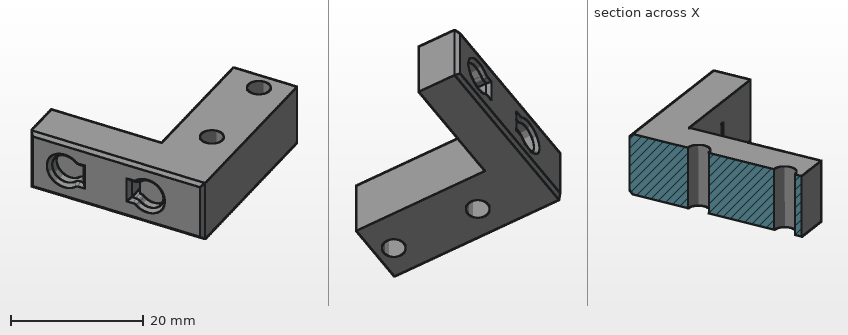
import cadquery as cq
import math

length_x = 29.9
length_y = 30.0
height = 10.3
bar_depth = 7.02
arm_width = 10.95
chamfer = 0.6
mid_height = height / 2

hole_diameter = 3.6
hole_x = length_x - 4.98
hole_ys = (12.0, 27.0)

pocket_depth = 2.0
round_radius = 2.4
neck_half_height = 1.5
neck_reach = 3.0
neck_fillet = 1.2
left_keyhole_x = 6.0
right_keyhole_x = 20.3

fillet_center_z = neck_half_height + neck_fillet
fillet_center_x = math.sqrt((round_radius + neck_fillet) ** 2 - fillet_center_z**2)


def make_body():
    bar = cq.Workplane("XY").box(length_x, bar_depth, height, centered=False)
    arm = (
        cq.Workplane("XY")
        .box(arm_width, length_y, height, centered=False)
        .translate((length_x - arm_width, 0, 0))
    )
    return bar.union(arm).faces("<Y").edges().chamfer(chamfer)


def keyhole_outline(y, growth):
    """Keyhole about the origin with its neck toward +X, offset outward by growth."""
    radius = round_radius + growth
    fillet = neck_fillet - growth
    half_height = neck_half_height + growth
    reach = neck_reach + growth
    center_distance = round_radius + neck_fillet
    tangent_x = fillet_center_x * radius / center_distance
    tangent_z = fillet_center_z * radius / center_distance
    toward_round = math.atan2(-fillet_center_z, -fillet_center_x)
    bisector = (toward_round - math.pi / 2) / 2
    fillet_mid_x = fillet_center_x + fillet * math.cos(bisector)
    fillet_mid_z = fillet_center_z + fillet * math.sin(bisector)
    return (
        cq.Workplane("XZ", origin=(0, y, 0))
        .moveTo(reach, -half_height)
        .lineTo(reach, half_height)
        .lineTo(fillet_center_x, half_height)
        .threePointArc((fillet_mid_x, fillet_mid_z), (tangent_x, tangent_z))
        .threePointArc((-radius, 0), (tangent_x, -tangent_z))
        .threePointArc((fillet_mid_x, -fillet_mid_z), (fillet_center_x, -half_height))
        .close()
    )


def make_keyhole():
    """Pocket with a chamfered mouth and a narrow slot through the bar at its neck."""
    pocket = keyhole_outline(0, 0).extrude(-pocket_depth)
    taper = math.degrees(math.atan2(chamfer, chamfer))
    mouth = keyhole_outline(0, chamfer).extrude(-chamfer, taper=taper)
    slot_width = neck_reach - fillet_center_x
    slot = (
        cq.Workplane("XY")
        .box(slot_width, bar_depth, 2 * neck_half_height, centered=(False, False, True))
        .translate((fillet_center_x, 0, 0))
    )
    return pocket.union(mouth).union(slot)


result = make_body()

holes = (
    cq.Workplane("XY")
    .pushPoints([(hole_x, hole_y) for hole_y in hole_ys])
    .circle(hole_diameter / 2)
    .extrude(height)
)
result = result.cut(holes)

keyhole = make_keyhole()
result = result.cut(keyhole.translate((left_keyhole_x, 0, mid_height)))
result = result.cut(keyhole.mirror("YZ").translate((right_keyhole_x, 0, mid_height)))